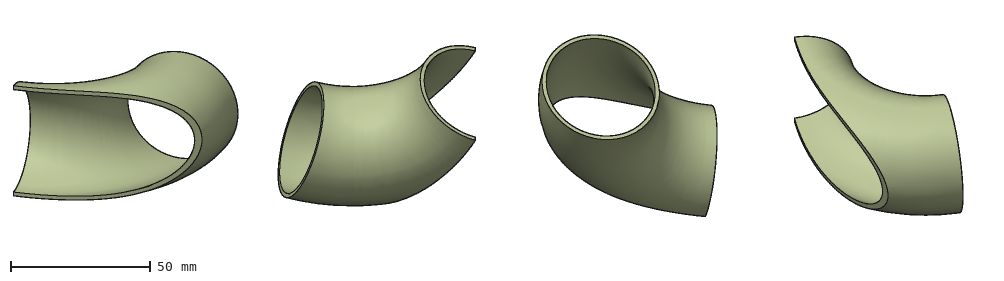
import cadquery as cq

overall_length = 69.5
pipe_diameter = 43.0
wall_thickness = 1.5
bend_angle = 90.0

pipe_radius = pipe_diameter / 2
bore_radius = pipe_radius - wall_thickness
bend_radius = overall_length - pipe_radius


def make_elbow():
    """Hollow pipe swept around the Z axis, with flat ends at x = 0 and y = 0."""
    return (
        cq.Workplane("XZ")
        .center(bend_radius, 0)
        .circle(pipe_radius)
        .circle(bore_radius)
        .revolve(bend_angle, (-bend_radius, 0), (-bend_radius, -1))
    )


def seam_y(x):
    """Parabola where the elbow meets an equal straight pipe tangent to its x = 0 end."""
    return x**2 / (4 * bend_radius) - bend_radius


def make_kept_region():
    """Prism on the bend-centre side of the seam parabola, taller than the pipe."""
    margin = 6.95
    reach = overall_length + margin
    height = pipe_diameter + margin
    seam_points = [(0, seam_y(0)), (reach / 2, seam_y(0)), (reach, seam_y(reach))]
    return (
        cq.Workplane("XY", origin=(0, 0, -height / 2))
        .moveTo(*seam_points[0])
        .bezier(seam_points)
        .lineTo(reach, margin)
        .lineTo(0, margin)
        .close()
        .extrude(height)
    )


result = make_elbow().intersect(make_kept_region())